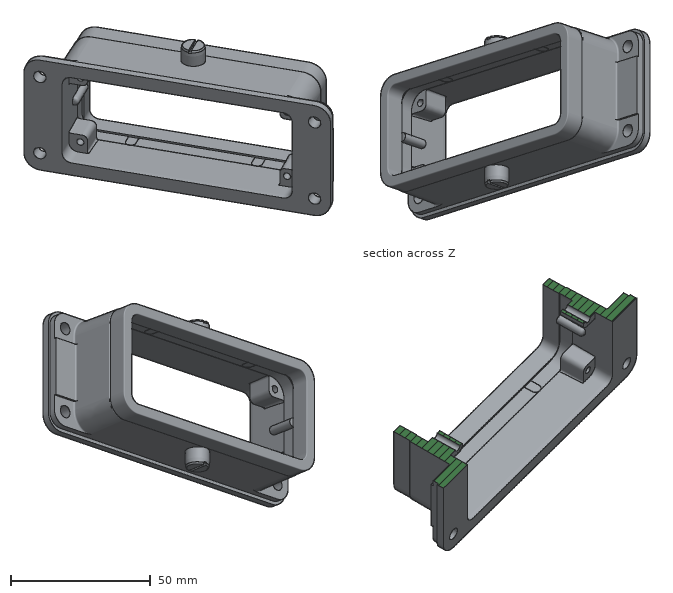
import cadquery as cq
import math

length = 115.0
total_depth = 30.8
screw_span = 55.5
draft_angle = 1.0

flange_height = 46.1
flange_depth = 2.9
flange_radius = 6.2
mount_hole_diameter = 4.6
mount_hole_x = 51.5
mount_hole_z = 16.0

plate_inset_x = 0.7
plate_length = length - 2 * plate_inset_x
plate_radius = 5.3
plate_top = 5.3
pad_rise = 0.8
pad_length = 21.8

body_length = 94.0
body_height = 43.5
body_radius = 7.5
body_top = 23.5
body_edge_round = 0.2
body_base_fillet = 0.6
rim_edge_round = 0.3
rim_length = 92.7
rim_height = 42.5
rim_radius = 6.9

mouth_length = 86.2
mouth_height = 35.8
mouth_bevel_depth = 1.5
mouth_bevel = 0.1
opening_radius = 3.5
cavity_length = mouth_length - 2 * mouth_bevel
cavity_height = mouth_height - 2 * mouth_bevel
seat_start = 17.9
seat_radius = 6.9
seat_step = 0.1
seat_length = cavity_length + 2 * seat_step
seat_height = cavity_height + 2 * seat_step
rim_opening_inset = 0.6

notch_radius = 2.0
notch_depth = 0.1
notch_x = 23.7

post_front = 7.7
post_inner_x = 35.9
post_inner_z = 10.2
post_round = 2.2
post_blend = 0.8
post_embed = 0.9
post_hole_diameter = 2.6
post_hole_x = 38.8
post_hole_z = 13.5

rib_width = 3.3
rib_radius = rib_width / 2
rib_front = 12.1
rib_tip_x = 40.8
rib_end_round = 1.2
rib_embed = 1.2

screw_y = 19.1
screw_diameter = 8.9
screw_head_diameter = 8.5
screw_top_diameter = 7.8
screw_head_height = 2.2
screw_top_height = 0.7
slot_width = 1.0
slot_depth = 1.0

SIDES = (-1, 1)
CORNERS = [(sx, sz) for sx in SIDES for sz in SIDES]


def depth_plane(start):
    """Plane at Y = start, extruding toward +Y."""
    return cq.Workplane(cq.Plane(origin=(0, start, 0), xDir=(1, 0, 0), normal=(0, 1, 0)))


def rounded_outline(size_x, size_z, radius):
    return cq.Sketch().rect(size_x, size_z).vertices().fillet(radius)


def rounded_block(size_x, size_z, radius, start, end, taper=0.0):
    """Round-cornered block between two depths; a positive taper narrows it toward +Y."""
    outline = rounded_outline(size_x, size_z, radius)
    return depth_plane(start).placeSketch(outline).extrude(end - start, taper=taper)


def hole_pins(diameter, centre_x, centre_z):
    """Four full-depth cylinders, one in each quadrant."""
    centres = [(sx * centre_x, sz * centre_z) for sx, sz in CORNERS]
    return depth_plane(0).pushPoints(centres).circle(diameter / 2).extrude(total_depth)


def footed_body(base_top):
    """Body standing on a plate of the given top, with a fillet where they meet."""
    slab_height = body_height + 4 * body_base_fillet
    slab = rounded_block(plate_length, slab_height, plate_radius, flange_depth, base_top)
    body = rounded_block(body_length, body_height, body_radius, flange_depth, body_top, draft_angle)
    body = body.faces(">Y").edges().fillet(body_edge_round)
    inner_x = body_length / 2 + body_base_fillet
    inner_z = body_height / 2 + body_base_fillet
    junction = cq.selectors.BoxSelector(
        (-inner_x, base_top - body_base_fillet / 2, -inner_z),
        (inner_x, base_top + body_base_fillet / 2, inner_z),
        boundingbox=True,
    )
    envelope = rounded_block(plate_length, body_height, plate_radius, flange_depth, body_top, draft_angle)
    return slab.union(body).edges(junction).fillet(body_base_fillet).intersect(envelope)


def outer_shell():
    flange = rounded_block(length, flange_height, flange_radius, 0, flange_depth)
    pad_zone = cq.Workplane("XY").box(length, 2 * total_depth, pad_length)
    pads = footed_body(plate_top + pad_rise).intersect(pad_zone)
    rim = rounded_block(rim_length, rim_height, rim_radius, flange_depth, total_depth)
    return flange.union(footed_body(plate_top)).union(pads).union(rim)


def inner_opening():
    mouth = (
        depth_plane(0)
        .placeSketch(
            rounded_outline(mouth_length, mouth_height, opening_radius),
            rounded_outline(cavity_length, cavity_height, opening_radius).moved(
                cq.Location(cq.Vector(0, 0, mouth_bevel_depth))
            ),
        )
        .loft()
    )
    cavity = rounded_block(cavity_length, cavity_height, opening_radius, mouth_bevel_depth, seat_start)
    seat = rounded_block(seat_length, seat_height, seat_radius, seat_start, body_top)
    rim_opening = rounded_block(
        cavity_length - 2 * rim_opening_inset,
        cavity_height - 2 * rim_opening_inset,
        opening_radius,
        body_top,
        total_depth,
    )
    return mouth.union(cavity).union(seat).union(rim_opening)


def seat_notches():
    """Notches just past the floor and ceiling of the seat, open toward the rim."""
    centre_y = seat_start + notch_radius
    centres = [(side * notch_x, centre_y) for side in SIDES]
    notches = (
        cq.Workplane("XY")
        .pushPoints(centres)
        .circle(notch_radius)
        .extrude(seat_height / 2 + notch_depth, both=True)
    )
    for x, y in centres:
        straight = cq.Workplane("XY").box(2 * notch_radius, body_top - y, seat_height + 2 * notch_depth)
        notches = notches.union(straight.translate((x, (y + body_top) / 2, 0)))
    return notches


def corner_post(sx, sz):
    """Drafted post filling one cavity corner, blended into both walls beside it."""
    wall_x = cavity_length / 2
    wall_z = cavity_height / 2
    arc_middle = 1 - math.sqrt(0.5)
    bend = post_round * arc_middle
    blend_mid = post_blend * arc_middle
    post = (
        cq.Workplane("XZ", origin=(0, seat_start, 0))
        .moveTo(wall_x + post_embed, post_inner_z - post_blend)
        .lineTo(wall_x, post_inner_z - post_blend)
        .threePointArc((wall_x - blend_mid, post_inner_z - blend_mid), (wall_x - post_blend, post_inner_z))
        .lineTo(post_inner_x + post_round, post_inner_z)
        .threePointArc(
            (post_inner_x + bend, post_inner_z + bend),
            (post_inner_x, post_inner_z + post_round),
        )
        .lineTo(post_inner_x, wall_z - post_blend)
        .threePointArc((post_inner_x - blend_mid, wall_z - blend_mid), (post_inner_x - post_blend, wall_z))
        .lineTo(post_inner_x - post_blend, wall_z + post_embed)
        .lineTo(wall_x + post_embed, wall_z + post_embed)
        .close()
        .extrude(seat_start - post_front, taper=draft_angle)
    )
    if sx < 0:
        post = post.mirror("YZ")
    if sz < 0:
        post = post.mirror("XY")
    return post


def guide_rib(side):
    """Half-round rib along Y, rooted in an end wall, with a rounded front end."""
    axis_x = rib_tip_x + rib_radius
    root_x = cavity_length / 2 + rib_embed
    rib = (
        depth_plane(rib_front)
        .moveTo(root_x, rib_radius)
        .lineTo(axis_x, rib_radius)
        .threePointArc((rib_tip_x, 0), (axis_x, -rib_radius))
        .lineTo(root_x, -rib_radius)
        .close()
        .extrude(body_top - rib_front)
    )
    rib = rib.faces("<Y").edges("not >X").fillet(rib_end_round)
    if side < 0:
        rib = rib.mirror("YZ")
    return rib


def side_screw():
    """Slotted screw on the +Z wall, starting inside the wall."""
    wall_middle = (mouth_height + body_height) / 4
    top = screw_span / 2
    screw = (
        cq.Workplane("XZ")
        .moveTo(0, wall_middle)
        .lineTo(screw_diameter / 2, wall_middle)
        .lineTo(screw_diameter / 2, top - screw_head_height)
        .lineTo(screw_head_diameter / 2, top - screw_top_height)
        .lineTo(screw_top_diameter / 2, top)
        .lineTo(0, top)
        .close()
        .revolve(360, (0, 0, 0), (0, 1, 0))
    )
    slot = cq.Workplane("XY").box(slot_width, screw_diameter, 2 * slot_depth).translate((0, 0, top))
    return screw.cut(slot).translate((0, screw_y, 0))


result = outer_shell().cut(inner_opening()).cut(seat_notches())
result = result.faces(">Y").edges().fillet(rim_edge_round)
for sx, sz in CORNERS:
    result = result.union(corner_post(sx, sz))
for side in SIDES:
    result = result.union(guide_rib(side))
upper_screw = side_screw()
result = result.union(upper_screw).union(upper_screw.mirror("XY"))
result = result.cut(hole_pins(mount_hole_diameter, mount_hole_x, mount_hole_z))
result = result.cut(hole_pins(post_hole_diameter, post_hole_x, post_hole_z))